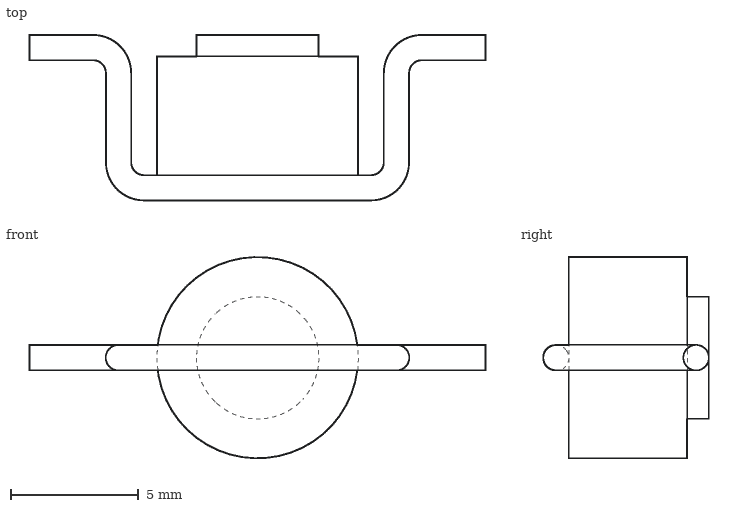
import cadquery as cq
import math

wire_dia = 1.0
bend_radius = 1.0
wire_span = 17.9
foot_length = 2.5
overall_depth = 6.5

drum_dia = 7.9
boss_dia = 4.8
boss_height = 0.85
drum_length = overall_depth - wire_dia - boss_height

front_wire_y = -wire_dia / 2
back_wire_y = drum_length + boss_height - wire_dia / 2
wire_end_x = wire_span / 2
leg_x = wire_end_x - foot_length - bend_radius
bend_mid = bend_radius * math.sqrt(0.5)


def make_core():
    """Drum and boss as one turned solid."""
    drum = cq.Workplane("XZ").circle(drum_dia / 2).extrude(-drum_length)
    boss = (
        cq.Workplane("XZ", origin=(0, drum_length, 0))
        .circle(boss_dia / 2)
        .extrude(-boss_height)
    )
    return drum.union(boss)


def make_wire():
    """Wire swept along its centreline from the -X end to the +X end."""
    foot_bend_x = leg_x + bend_radius
    foot_bend_y = back_wire_y - bend_radius
    front_bend_x = leg_x - bend_radius
    front_bend_y = front_wire_y + bend_radius

    centreline = (
        cq.Workplane("XY")
        .moveTo(-wire_end_x, back_wire_y)
        .lineTo(-foot_bend_x, back_wire_y)
        .threePointArc((-foot_bend_x + bend_mid, foot_bend_y + bend_mid), (-leg_x, foot_bend_y))
        .lineTo(-leg_x, front_bend_y)
        .threePointArc((-front_bend_x - bend_mid, front_bend_y - bend_mid), (-front_bend_x, front_wire_y))
        .lineTo(front_bend_x, front_wire_y)
        .threePointArc((front_bend_x + bend_mid, front_bend_y - bend_mid), (leg_x, front_bend_y))
        .lineTo(leg_x, foot_bend_y)
        .threePointArc((foot_bend_x - bend_mid, foot_bend_y + bend_mid), (foot_bend_x, back_wire_y))
        .lineTo(wire_end_x, back_wire_y)
    )
    section = cq.Workplane("YZ", origin=(-wire_end_x, back_wire_y, 0)).circle(wire_dia / 2)
    return section.sweep(centreline)


core = make_core()
wire = make_wire()

result = cq.Compound.makeCompound([core.val(), wire.val()])